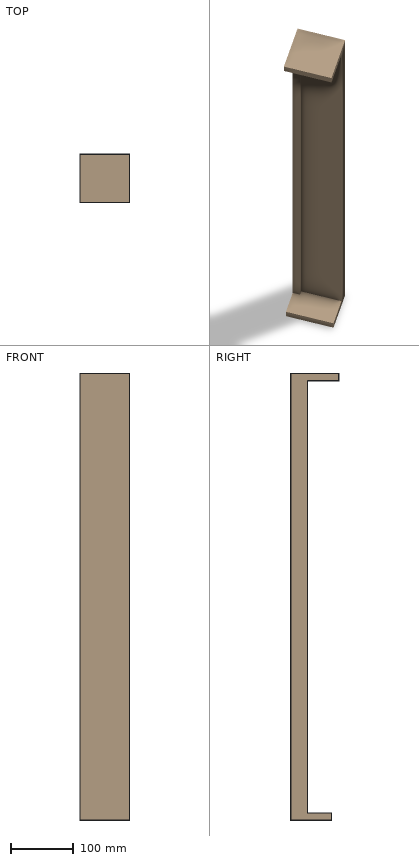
import cadquery as cq

width = 80.0
height = 719.0
top_flange_depth = 78.0

bottom_flange_depth = 66.0
flange_thickness = 12.0
web_thickness = 21.0
lip_height = 6.5
lip_width = 12.0

profile = [
    (0, 0),
    (bottom_flange_depth, 0),
    (bottom_flange_depth, flange_thickness),
    (web_thickness, flange_thickness),
    (web_thickness, height - flange_thickness),
    (top_flange_depth, height - flange_thickness),
    (top_flange_depth, height),
    (0, height),
]
channel = cq.Workplane("YZ").polyline(profile).close().extrude(width)

lip = cq.Workplane("XY").box(
    lip_width, web_thickness + lip_height, height - 2 * flange_thickness, centered=False
).translate((width - lip_width, 0, flange_thickness))

result = channel.union(lip)